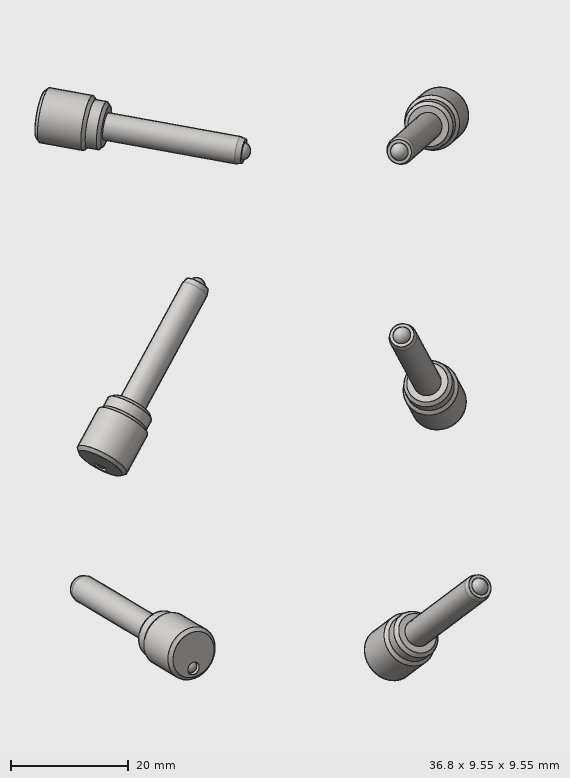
import cadquery as cq

overall_length = 36.83

head_diameter = 9.55
shoulder_diameter = 8.35
chamfer = 0.63
shoulder_start = 8.88
head_length = 11.45
head_radius = head_diameter / 2
shoulder_radius = shoulder_diameter / 2

shank_diameter = 4.75
shank_radius = shank_diameter / 2
shank_end = 35.7
lip_length = 1.0
lip_radius = 2.1
lip_start = shank_end - lip_length

tip_ball_radius = 1.6
tip_ball_center = (overall_length - tip_ball_radius, 0, 0)

face_ball_radius = 1.15
face_ball_drop = 2.55
face_ball_center = (face_ball_radius, 0, -face_ball_drop)


def make_ball(radius, center):
    """Full ball about the given point."""
    return cq.Workplane("XY").sphere(radius, direct=(1, 0, 0)).translate(center)


def make_head():
    """Chamfered head and shoulder with a round-bottomed hole for the small ball."""
    body = (
        cq.Workplane("XY")
        .moveTo(0, 0)
        .lineTo(0, head_radius - chamfer)
        .lineTo(chamfer, head_radius)
        .lineTo(shoulder_start - chamfer, head_radius)
        .lineTo(shoulder_start, shoulder_radius)
        .lineTo(head_length - chamfer, shoulder_radius)
        .lineTo(head_length, shoulder_radius - chamfer)
        .lineTo(head_length, 0)
        .close()
        .revolve(360, (0, 0, 0), (1, 0, 0))
    )
    hole = (
        cq.Workplane("YZ")
        .center(0, -face_ball_drop)
        .circle(face_ball_radius)
        .extrude(face_ball_radius)
    )
    return body.cut(hole).cut(make_ball(face_ball_radius, face_ball_center))


def make_shank():
    """Plain rod whose tapered lip closes around the tip ball."""
    body = (
        cq.Workplane("XY")
        .moveTo(head_length, 0)
        .lineTo(head_length, shank_radius)
        .lineTo(lip_start, shank_radius)
        .lineTo(shank_end, lip_radius)
        .lineTo(shank_end, 0)
        .close()
        .revolve(360, (0, 0, 0), (1, 0, 0))
    )
    return body.cut(make_ball(tip_ball_radius, tip_ball_center))


head = make_head()
shank = make_shank()
tip_ball = make_ball(tip_ball_radius, tip_ball_center)
face_ball = make_ball(face_ball_radius, face_ball_center)

result = cq.Compound.makeCompound([head.val(), shank.val(), tip_ball.val(), face_ball.val()])